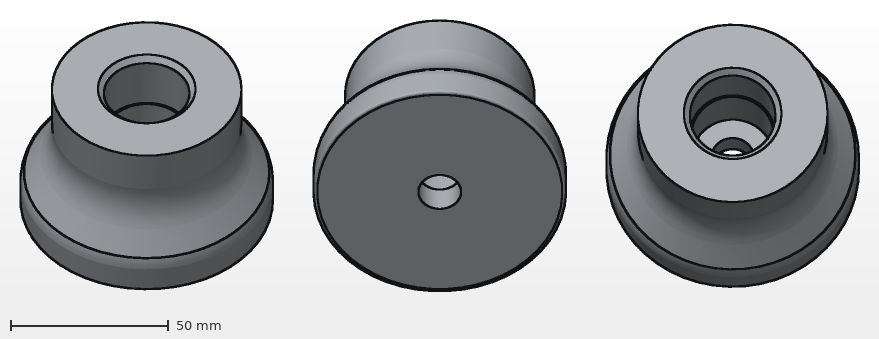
import cadquery as cq

total_height = 50.0
neck_bottom = 35.0
cone_top = 20.5
rim_top = 13.0

neck_radius = 60 / 2
cone_top_radius = 33.4
rim_radius = 77.5 / 2
waist_arc_radius = 20

bore_radius = 27.0 / 2
lower_bore_radius = 26.0 / 2
through_radius = 13.5 / 2
bore_chamfer = 1.9
bore_depth = 19.6
lower_bore_depth = 40

tyre_radius = 40
lip_height = 0.3
lip_width = 0.2
shoulder_radius = 39.5
shoulder_height = 11.7
tyre_wall_top = 9.2
base_round = 0.7


def make_hub():
    """Revolve the waisted hub together with its stepped bore."""
    bore_floor = total_height - lower_bore_depth
    bore_ledge = total_height - bore_depth
    return (
        cq.Workplane("XZ")
        .moveTo(through_radius, 0)
        .lineTo(rim_radius, 0)
        .lineTo(rim_radius, rim_top)
        .lineTo(cone_top_radius, cone_top)
        .radiusArc((neck_radius, neck_bottom), waist_arc_radius)
        .lineTo(neck_radius, total_height)
        .lineTo(bore_radius + bore_chamfer, total_height)
        .lineTo(bore_radius, total_height - bore_chamfer)
        .lineTo(bore_radius, bore_ledge)
        .lineTo(lower_bore_radius, bore_ledge)
        .lineTo(lower_bore_radius, bore_floor)
        .lineTo(through_radius, bore_floor)
        .close()
        .revolve(360, (0, 0, 0), (0, 1, 0))
    )


def make_tyre():
    """Revolve the thin tyre with a raised lip, rounded shoulder and rounded base edge."""
    lip_crest = (rim_radius + lip_width, rim_top + lip_height)
    return (
        cq.Workplane("XZ")
        .moveTo(rim_radius, 0)
        .lineTo(tyre_radius - base_round, 0)
        .radiusArc((tyre_radius, base_round), -base_round)
        .lineTo(tyre_radius, tyre_wall_top)
        .threePointArc((shoulder_radius, shoulder_height), lip_crest)
        .lineTo(rim_radius, rim_top)
        .close()
        .revolve(360, (0, 0, 0), (0, 1, 0))
    )


hub = make_hub()
tyre = make_tyre()
result = cq.Compound.makeCompound([hub.val(), tyre.val()])